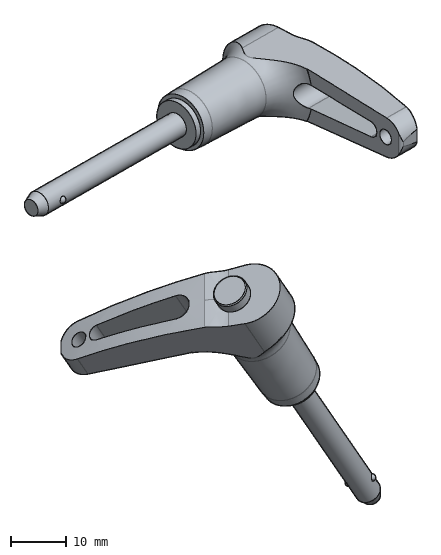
import cadquery as cq
import math


overall_length = 71.9
collar_start = 39.5
grip_start = 40.75
grip_round_end = 42.9
flare_start = 57.15
head_top = 69.7
crest_y = 70.5

pin_diameter = 4.8
pin_radius = pin_diameter / 2
pin_tip_radius = 1.65
pin_tip_length = 2.0
ball_radius = 0.7
ball_reach = 2.95
ball_y = 5.9

collar_radius = 4.75
grip_start_radius = 5.5
grip_lower_radius = 5.7
grip_upper_radius = 6.05
flare_radius = 5.9
button_radius = 3.2
button_edge = 0.2

handle_left = -8.9
handle_right = 35.2
head_width = 12.7
head_radius = head_width / 2
tip_radius = 4.1
head_x = handle_left + head_radius
tip_x = handle_right - tip_radius

rise_start_x = 1.1
rise_mid_x = 3.2
crest_x = 5.4
back_mid_x = 20.3
back_mid_y = 69.15
tip_top_x = 35.0
tip_top_y = 65.55
tip_bottom_y = 60.95
tip_edge_fillet = 0.6

slot_left = 8.4
slot_right = 28.8
slot_left_radius = 2.5
slot_right_radius = 1.6
lanyard_hole_radius = 1.5


def tapered_bar(left_x, left_radius, right_x, right_radius):
    """Prism along Y whose XZ outline is two circles joined by tangent lines."""
    lean = (left_radius - right_radius) / (right_x - left_x)
    rise = math.sqrt(1 - lean**2)
    left_tangent = (left_x + left_radius * lean, left_radius * rise)
    right_tangent = (right_x + right_radius * lean, right_radius * rise)
    return (
        cq.Workplane("XZ")
        .moveTo(left_tangent[0], -left_tangent[1])
        .lineTo(right_tangent[0], -right_tangent[1])
        .threePointArc((right_x + right_radius, 0), right_tangent)
        .lineTo(*left_tangent)
        .threePointArc((left_x - left_radius, 0), (left_tangent[0], -left_tangent[1]))
        .close()
        .extrude(-overall_length)
    )


def revolved(profile):
    return profile.close().revolve(360, (0, 0, 0), (0, 1, 0))


flare_end_radius = grip_upper_radius + flare_radius
underside_y = flare_start + flare_radius
arc_step = flare_radius * math.sqrt(0.5)
underside_slope = (underside_y - tip_bottom_y) / (handle_right - flare_end_radius)
underside_axis_y = underside_y + underside_slope * flare_end_radius
flare_middle = (flare_end_radius - arc_step, flare_start + arc_step)


def make_flared_grip():
    return revolved(
        cq.Workplane("XY")
        .moveTo(0, grip_start)
        .lineTo(grip_start_radius, grip_start)
        .lineTo(grip_lower_radius, grip_round_end)
        .lineTo(grip_upper_radius, flare_start)
        .threePointArc(flare_middle, (flare_end_radius, underside_y))
        .lineTo(flare_end_radius, underside_axis_y)
        .lineTo(0, underside_axis_y)
    )


def make_handle_side():
    rise_mid = (rise_mid_x, (head_top + crest_y) / 2)
    return (
        cq.Workplane("XY")
        .moveTo(handle_left, underside_axis_y)
        .lineTo(0, underside_axis_y)
        .lineTo(handle_right, tip_bottom_y)
        .lineTo(tip_top_x, tip_top_y)
        .threePointArc((back_mid_x, back_mid_y), (crest_x, crest_y))
        .spline([rise_mid, (rise_start_x, head_top)], tangents=[(-1, 0), (-1, 0)], includeCurrent=True)
        .lineTo(handle_left, head_top)
        .close()
        .extrude(head_radius, both=True)
        .edges("|Z and >X")
        .fillet(tip_edge_fillet)
    )


def make_handle():
    outline = tapered_bar(head_x, head_radius, tip_x, tip_radius)
    slot = tapered_bar(
        slot_left + slot_left_radius, slot_left_radius, slot_right - slot_right_radius, slot_right_radius
    )
    lanyard_hole = (
        cq.Workplane("XZ").center(tip_x, 0).circle(lanyard_hole_radius).extrude(-overall_length)
    )
    body = make_handle_side().union(make_flared_grip())
    return body.intersect(outline).cut(slot).cut(lanyard_hole)


def make_pin():
    """Collar and shank with a tapered tip."""
    return revolved(
        cq.Workplane("XY")
        .lineTo(pin_tip_radius, 0)
        .lineTo(pin_radius, pin_tip_length)
        .lineTo(pin_radius, collar_start)
        .lineTo(collar_radius, collar_start)
        .lineTo(collar_radius, grip_round_end)
        .lineTo(0, grip_round_end)
    )


def make_button():
    return (
        cq.Workplane("XZ", origin=(0, overall_length, 0))
        .circle(button_radius)
        .extrude(overall_length - underside_y)
        .faces(">Y")
        .edges()
        .chamfer(button_edge)
    )


result = make_handle().union(make_pin()).union(make_button())
for side in (-1, 1):
    ball_center = (side * (ball_reach - ball_radius), ball_y, 0)
    result = result.union(cq.Workplane("XY", origin=ball_center).sphere(ball_radius))